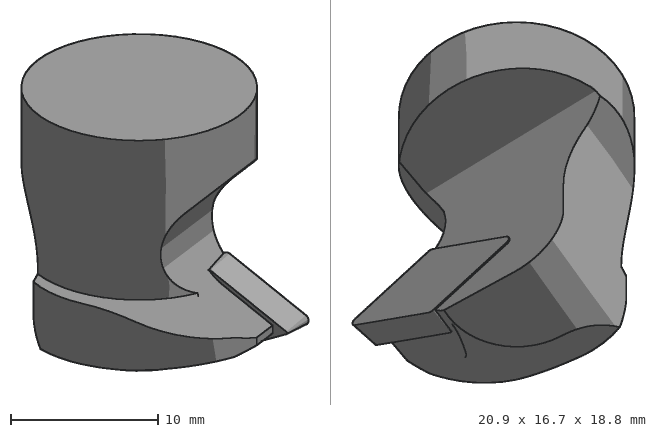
import cadquery as cq
import math


shank_radius = 8.0
total_height = 18.8
tip_z = -14.8
bottom_below_tip = total_height + tip_z

insert_tip_x = 12.87
insert_nose_angle = 55.0
inscribed_circle = 6.35
insert_thickness = 2.38
insert_corner_radius = 0.4
insert_relief = 7.0
rake_angle = 4.0

half_nose = math.radians(insert_nose_angle / 2)
insert_side = inscribed_circle / math.sin(2 * half_nose)
corner_setback = insert_corner_radius / math.sin(half_nose) - insert_corner_radius
insert_half_length = insert_side * math.cos(half_nose)
insert_half_height = insert_side * math.sin(half_nose)

head_front_y = -8.7
head_flat_length = 4.12
head_arc_radius = 7.85
nose_corner_x = 11.13
head_back_y = 1.5
cone_rim_radius = 13.15

neck_left_x = -4.31
neck_arc_radius = 8.0
neck_arc_end_z = -11.8
heel_radius = bottom_below_tip

wedge_tip_setback = 0.85
throat_top_u = -4.92
throat_top_v = 10.43
throat_radius = 4.2
lower_kink_u = -5.95
lower_kink_radius = 2.0

face_below_rake = 0.1
underside_z = -5.66
underside_slope = math.tan(math.radians(5.0))
underside_fillet = 1.6

clear = 30.0

rake = math.radians(rake_angle)
rake_plane = cq.Plane(
    origin=(insert_tip_x, 0, tip_z),
    xDir=(math.cos(rake), -math.sin(rake), 0),
    normal=(-math.sin(rake), -math.cos(rake), 0),
)


def make_insert():
    """Rhombic insert: rounded corners, tapering away from its rake face."""
    centre_u = corner_setback - insert_half_length
    rake_face = (
        cq.Sketch()
        .polygon([
            (corner_setback, 0),
            (centre_u, insert_half_height),
            (centre_u - insert_half_length, 0),
            (centre_u, -insert_half_height),
            (corner_setback, 0),
        ])
        .vertices()
        .fillet(insert_corner_radius)
    )
    return cq.Workplane(rake_plane).placeSketch(rake_face).extrude(insert_thickness, taper=insert_relief)


def flank_y(run):
    """Y of a head flank arc at a distance along X from the end of the straight front."""
    return head_front_y + head_arc_radius - math.sqrt(head_arc_radius**2 - run**2)


def make_head():
    """Plan outline of the head, trimmed by a double cone around the shank axis."""
    left_y = flank_y(-neck_left_x)
    nose_y = flank_y(nose_corner_x - head_flat_length)
    nose_back_x = nose_corner_x + (head_back_y - nose_y) * math.tan(rake)
    plan = (
        cq.Workplane("XY")
        .workplane(offset=-total_height)
        .moveTo(neck_left_x, head_back_y)
        .lineTo(neck_left_x, left_y)
        .radiusArc((0, head_front_y), -head_arc_radius)
        .lineTo(head_flat_length, head_front_y)
        .radiusArc((nose_corner_x, nose_y), -head_arc_radius)
        .lineTo(nose_back_x, head_back_y)
        .close()
        .extrude(total_height)
    )
    bottom_radius = cone_rim_radius - bottom_below_tip / math.tan(half_nose)
    cone_top_z = tip_z + cone_rim_radius * math.tan(half_nose)
    double_cone = (
        cq.Workplane("XZ")
        .polyline([
            (0, -total_height),
            (bottom_radius, -total_height),
            (cone_rim_radius, tip_z),
            (0, cone_top_z),
        ])
        .close()
        .revolve(360, (0, 0, 0), (0, 1, 0))
    )
    return plan.intersect(double_cone)


def make_left_cut():
    """Waste left of the neck: large concave arc, flat side, rounded heel."""
    arc_centre_x = neck_left_x - neck_arc_radius
    arc_rise = math.sqrt(neck_arc_radius**2 - (-shank_radius - arc_centre_x) ** 2)
    return (
        cq.Workplane("XZ")
        .moveTo(-clear, neck_arc_end_z + arc_rise)
        .lineTo(-shank_radius, neck_arc_end_z + arc_rise)
        .radiusArc((neck_left_x, neck_arc_end_z), neck_arc_radius)
        .lineTo(neck_left_x, tip_z)
        .radiusArc((neck_left_x + heel_radius, -total_height), -heel_radius)
        .lineTo(-clear, -total_height)
        .close()
        .extrude(clear, both=True)
    )


def make_throat_cut():
    """Waste above the upper insert edge, running up into the 45 degree throat."""
    slope = math.tan(half_nose)
    wedge_u = -wedge_tip_setback
    corner_u = (wedge_u * slope + throat_top_u - throat_top_v) / (1 + slope)
    corner_v = (wedge_u - corner_u) * slope
    return (
        cq.Workplane(rake_plane)
        .polyline([
            (wedge_u, 0),
            (corner_u, corner_v),
            (throat_top_u + clear, throat_top_v + clear),
            (clear, 0),
        ])
        .close()
        .extrude(clear, both=True)
        .edges(cq.NearestToPointSelector(rake_plane.toWorldCoords((corner_u, corner_v, 0)).toTuple()))
        .fillet(throat_radius)
    )


def make_lower_cut():
    """Waste below the lower insert edge, steepening to 45 degrees towards the bottom."""
    wedge_u = -wedge_tip_setback
    kink_v = (lower_kink_u - wedge_u) * math.tan(half_nose)
    return (
        cq.Workplane(rake_plane)
        .polyline([
            (wedge_u, 0),
            (lower_kink_u, kink_v),
            (lower_kink_u - clear, kink_v - clear),
            (clear, kink_v - clear),
            (clear, 0),
        ])
        .close()
        .extrude(clear, both=True)
        .edges(cq.NearestToPointSelector(rake_plane.toWorldCoords((lower_kink_u, kink_v, 0)).toTuple()))
        .fillet(lower_kink_radius)
    )


def make_back_cut():
    """Waste behind the neck face, below the sloping shank underside."""
    axis_v = underside_z - tip_z
    axis_u = -insert_tip_x
    rise = clear * underside_slope
    top_edge_point = rake_plane.toWorldCoords((axis_u, axis_v, face_below_rake)).toTuple()
    return (
        cq.Workplane(rake_plane)
        .workplane(offset=face_below_rake)
        .polyline([
            (axis_u - clear, axis_v + rise),
            (axis_u + clear, axis_v - rise),
            (axis_u + clear, -clear),
            (axis_u - clear, -clear),
        ])
        .close()
        .extrude(-clear)
        .edges(cq.NearestToPointSelector(top_edge_point))
        .fillet(underside_fillet)
    )


insert = make_insert()

shank = cq.Workplane("XY").circle(shank_radius).extrude(tip_z)
holder = shank.union(make_head())
for waste in (make_left_cut(), make_throat_cut(), make_lower_cut(), make_back_cut(), insert):
    holder = holder.cut(waste)

result = cq.Compound.makeCompound([holder.val(), insert.val()])